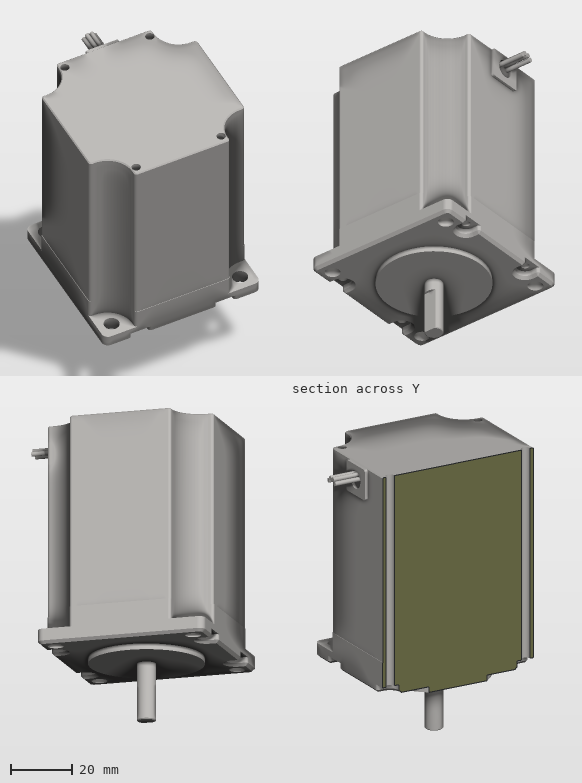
import cadquery as cq
total_height = 97.0
pilot_bottom = 19.2
flange_bottom = 21.1
ledge_height = 26.1
end_bell_top = 32.9

flange_width = 57.0
body_width = 56.7
flange_corner_radius = 2.2
flange_bottom_chamfer = 1.0
body_top_chamfer = 0.4

relief_depth = 11.2
relief_radius = 9.1
relief_edge_fillet = 1.0

mount_hole_spacing = 46.9
mount_hole_diameter = 5.2

screw_spacing_x = 51.0
screw_spacing_y = 31.0
screw_hole_diameter = 3.0
screw_pocket_width = 6.4
screw_pocket_lip_radius = 1.0
screw_pocket_height = 2.8

pilot_diameter = 38.0
shaft_diameter = 6.3
shaft_tip_chamfer = 0.3
flat_depth = 1.0
flat_length = 14.9

outlet_width = 12.0
outlet_height = 10.6
outlet_bottom = 86.0
outlet_corner_radius = 0.7
outlet_thickness = 1.0
outlet_bore_diameter = 6.2
outlet_bore_height = 91.5

wire_count = 4
wire_diameter = 1.6
wire_circle_radius = 2.1
wire_angle_step = 45.0
wire_free_length = 9.0

flange_half = flange_width / 2
pick_margin = 0.1
outlet_face_x = -flange_half - outlet_thickness


def square_block(width, bottom, top):
    block = cq.Workplane("XY").workplane(offset=bottom)
    return block.rect(width, width).extrude(top - bottom)


def corner_relief():
    """Tool that removes all four corners above the ears, with rounded inner edges."""
    height = total_height - ledge_height
    centers = [(x, y) for x in (-flange_half, flange_half) for y in (-flange_half, flange_half)]
    tool = cq.Workplane("XY").workplane(offset=ledge_height).pushPoints(centers)
    tool = tool.rect(2 * relief_depth, 2 * relief_depth).extrude(height)
    return tool.edges("|Z").fillet(relief_radius)


def round_mirrored_edges(solid, corners, radius):
    """Fillet the vertical edges at the given XY corners and at their mirror images in both axes."""
    selector = cq.selectors.BoxSelector((0, 0, 0), (0, 0, 0))
    for x, y in corners:
        for sx in (-1, 1):
            for sy in (-1, 1):
                low = (sx * x - pick_margin, sy * y - pick_margin, 0)
                high = (sx * x + pick_margin, sy * y + pick_margin, total_height)
                selector = selector + cq.selectors.BoxSelector(low, high)
    return solid.edges("|Z").edges(selector).fillet(radius)


def relieved_block(width, bottom, top):
    """Square block with the corners relieved and the edges of each relief rounded."""
    block = square_block(width, bottom, top).cut(corner_relief())
    side = width / 2
    relief_wall = flange_half - relief_depth
    corners = [(side, relief_wall), (relief_wall, side)]
    return round_mirrored_edges(block, corners, relief_edge_fillet)


def screw_pockets():
    """Round-ended pockets that run out through the -X and +X sides of the flange."""
    run_out = screw_pocket_width
    pockets = cq.Workplane("XY").workplane(offset=flange_bottom)
    for side in (-1, 1):
        x = side * (screw_spacing_x + run_out) / 2
        pockets = pockets.pushPoints([(x, -screw_spacing_y / 2), (x, screw_spacing_y / 2)])
        pockets = pockets.slot2D(run_out + screw_pocket_width, screw_pocket_width)
    return pockets.extrude(screw_pocket_height)


def make_flange():
    """Flange with rounded corners and screw pockets, chamfered all along its bottom outline."""
    flange = square_block(flange_width, flange_bottom, ledge_height)
    flange = flange.edges("|Z").fillet(flange_corner_radius).cut(screw_pockets())
    pocket_near_wall = (screw_spacing_y - screw_pocket_width) / 2
    pocket_far_wall = (screw_spacing_y + screw_pocket_width) / 2
    mouth_corners = [(flange_half, pocket_near_wall), (flange_half, pocket_far_wall)]
    flange = round_mirrored_edges(flange, mouth_corners, screw_pocket_lip_radius)
    return flange.faces("<Z").chamfer(flange_bottom_chamfer)


def make_housing():
    end_bell = relieved_block(flange_width, ledge_height, end_bell_top)
    body = relieved_block(body_width, end_bell_top, total_height)
    body = body.faces(">Z").chamfer(body_top_chamfer)
    return make_flange().union(end_bell).union(body)


def make_shaft():
    shaft = cq.Workplane("XY").circle(shaft_diameter / 2).extrude(pilot_bottom)
    shaft = shaft.faces("<Z").chamfer(shaft_tip_chamfer)
    flat_y = shaft_diameter / 2 - flat_depth
    flat = cq.Workplane("XY").box(shaft_diameter, shaft_diameter, flat_length, centered=(True, False, False))
    return shaft.cut(flat.translate((0, flat_y, 0)))


def make_pilot():
    pilot = cq.Workplane("XY").workplane(offset=pilot_bottom)
    return pilot.circle(pilot_diameter / 2).extrude(flange_bottom - pilot_bottom)


def mount_holes():
    holes = cq.Workplane("XY").workplane(offset=flange_bottom)
    holes = holes.rect(mount_hole_spacing, mount_hole_spacing, forConstruction=True).vertices()
    return holes.circle(mount_hole_diameter / 2).extrude(ledge_height - flange_bottom)


def screw_holes():
    holes = cq.Workplane("XY").workplane(offset=flange_bottom)
    holes = holes.rect(screw_spacing_x, screw_spacing_y, forConstruction=True).vertices()
    return holes.circle(screw_hole_diameter / 2).extrude(total_height - flange_bottom)


def make_cable_outlet():
    """Rounded cover plate with a shallow round bore."""
    middle = outlet_bottom + outlet_height / 2
    plate = cq.Workplane("YZ").workplane(offset=outlet_face_x).center(0, middle)
    plate = plate.rect(outlet_width, outlet_height).extrude(2 * outlet_thickness)
    plate = plate.edges("|X").fillet(outlet_corner_radius)
    bore = cq.Workplane("YZ").workplane(offset=outlet_face_x).center(0, outlet_bore_height)
    return plate.cut(bore.circle(outlet_bore_diameter / 2).extrude(outlet_thickness))


def make_wires():
    first_angle = 90 - wire_angle_step * (wire_count - 1) / 2
    wires = cq.Workplane("YZ").workplane(offset=outlet_face_x - wire_free_length)
    wires = wires.center(0, outlet_bore_height)
    wires = wires.polarArray(wire_circle_radius, first_angle, wire_angle_step * (wire_count - 1), wire_count)
    return wires.circle(wire_diameter / 2).extrude(wire_free_length + 2 * outlet_thickness)


result = make_housing().union(make_pilot()).union(make_shaft())
result = result.union(make_cable_outlet()).union(make_wires())
result = result.cut(mount_holes()).cut(screw_holes())